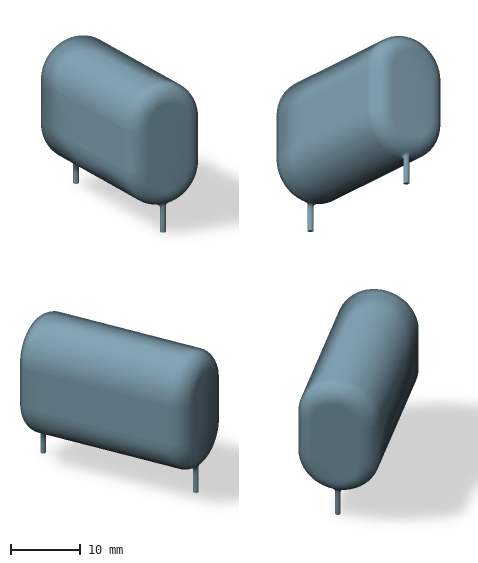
import cadquery as cq

body_length = 28.0
body_thickness = 12.0
body_height = 18.5
end_radius = 2.5

lead_diameter = 0.8
lead_pitch = 25.0
lead_length = 4.0
joint_radius = 0.5

body_bottom = -body_height / 2
lead_end = body_bottom - lead_length
lead_positions = [(-lead_pitch / 2, 0), (lead_pitch / 2, 0)]


def make_body():
    return (
        cq.Workplane("YZ")
        .slot2D(body_height, body_thickness, 90)
        .extrude(body_length / 2, both=True)
        .faces("<X or >X")
        .edges()
        .fillet(end_radius)
    )


def make_leads():
    return (
        cq.Workplane("XY")
        .pushPoints(lead_positions)
        .circle(lead_diameter / 2)
        .extrude(lead_end)
    )


def blend_joint(part, position):
    x, y = position
    joint_box = cq.selectors.BoxSelector(
        (x - lead_diameter, y - lead_diameter, body_bottom),
        (x + lead_diameter, y + lead_diameter, 0),
        boundingbox=True,
    )
    return part.edges(joint_box).fillet(joint_radius)


result = make_body().union(make_leads())
for lead_position in lead_positions:
    result = blend_joint(result, lead_position)